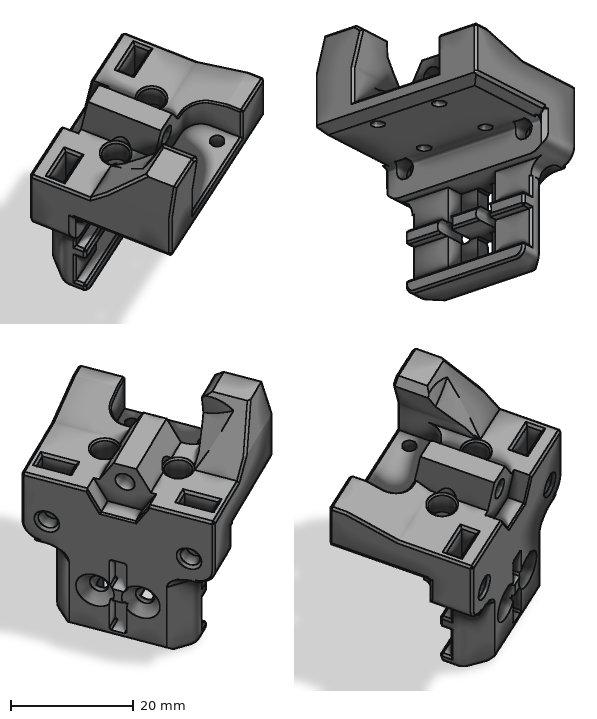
import cadquery as cq
import math

length = 26.0
half_width = 34.0 / 2
height = 41.2
edge_break = 0.4
tolerance = 0.005

deck_top = 31.9
deck_bottom = 23.9
deck_chamfer = 1.52
block_depth = 8.08
block_bottom = 17.92
block_corner_radius = 3.3
block_rear_chamfer = 0.82
inner_corner_radius = 1.25

plate_half_width = 12.52
plate_depth = 6.2
plate_side_chamfer = 3.95
plate_bottom_chamfer = 1.98
plate_bottom_radius = 1.95
plate_edge_radius = 2.47
neck_radius = 3.1
bottom_rib_top = 2.6
middle_rib_bottom = 9.2
middle_rib_top = 11.65
rib_gaps = ((bottom_rib_top, middle_rib_bottom), (middle_rib_top, block_bottom))
slot_width = 3.05
slot_corner_chamfer = 0.37
skin_depth = 2.75
cavity_half_width = 4.95

plate_hole_diameter = 3.2
plate_hole_sink_diameter = 6.7
plate_hole_y = 4.05
plate_hole_z = 10.4

ridge_start = 3.17
ridge_end = 16.6
ridge_top = 36.25
ridge_top_half_width = 2.0
recess_bottom = 27.6
recess_half_width = 3.05
recess_break = 0.3
bore_diameter = 3.4
bore_z = 32.8
flank_slope = math.tan(math.radians(60))

tall_slope_start = 11.05
tall_slope_end = tall_slope_start + height - deck_top
low_slope_start = 13.55
low_slope_end = 23.0
low_arm_top = 34.35
pocket_floor = 27.52
pocket_half_width = 8.9
pocket_corner_radius = 3.65
pocket_break = 0.3
lean_start = 34.8
lean_offset = 1.8
overhang_start = 33.8
overhang_end = 40.1
overhang_y = -7.1
overhang_top_y = -8.55

screw_diameter = 2.4
screw_y = 6.45
front_screw_x = 10.55
rear_screw_x = 22.6
counterbore_diameter = 4.6
counterbore_break = 0.35

nut_y = 12.52
nut_z = 22.65
nut_width = 5.9
nut_x_start = 2.9
nut_thickness = 2.65
nut_mouth_break = 0.45
cross_hole_diameter = 3.4
cross_hole_sink_diameter = 4.4


def ends(edge):
    """Start, middle and end of an edge."""
    return [edge.positionAt(place) for place in (0, 0.5, 1)]


def along_x(points, start, end):
    """Extrude a closed (Y, Z) polygon from X = start to X = end."""
    return cq.Workplane("YZ", origin=(start, 0, 0)).polyline(points).close().extrude(end - start)


def along_y(points, start, end):
    """Extrude a closed (X, Z) polygon from Y = start to Y = end."""
    return cq.Workplane("XZ", origin=(0, start, 0)).polyline(points).close().extrude(start - end)


def box(x_range, y_range, z_range):
    """Box between the given limits."""
    size = [end - start for start, end in (x_range, y_range, z_range)]
    return cq.Workplane("XY").box(*size, centered=False).translate((x_range[0], y_range[0], z_range[0]))


def cone_x(y, z, mouth_diameter, end_diameter):
    """45 degree countersink that opens toward -X at the front face."""
    depth = (mouth_diameter - end_diameter) / 2
    centre = cq.Vector(0, y, z)
    inward = cq.Vector(1, 0, 0)
    return cq.Workplane(cq.Solid.makeCone(mouth_diameter / 2, end_diameter / 2, depth, centre, inward))


def hole_x(y, z, diameter, depth):
    """Round hole along X from the front face."""
    return cq.Workplane("YZ", origin=(0, y, z)).circle(diameter / 2).extrude(depth)


def hole_z(x, y, diameter):
    """Round hole along Z, through the deck."""
    return cq.Workplane("XY", origin=(x, y, deck_bottom)).circle(diameter / 2).extrude(deck_top - deck_bottom)


def make_deck():
    """Flat deck with bevelled lower edges, without the front block."""
    deck = box((0, length), (-half_width, half_width), (deck_bottom, deck_top))
    return deck.faces("<Z").edges("|X or >X").chamfer(deck_chamfer)


def make_block():
    """Front block with rounded lower corners."""
    block = box((0, block_depth), (-half_width, half_width), (block_bottom, deck_top))
    return block.edges("|X and <Z").fillet(block_corner_radius)


def make_tall_arm():
    """Leaning arm on the -Y side with an overhanging inner face."""
    side = along_y(
        [
            (tall_slope_start, deck_top),
            (tall_slope_end, height),
            (length, height),
            (length, pocket_floor),
            (tall_slope_start, pocket_floor),
        ],
        -half_width,
        0,
    )
    section = along_x(
        [
            (-half_width, pocket_floor),
            (-half_width, lean_start),
            (-half_width + lean_offset, height),
            (overhang_top_y, height),
            (overhang_y, overhang_end),
            (-pocket_half_width, overhang_start),
            (-pocket_half_width, pocket_floor),
        ],
        0,
        length,
    )
    return side.intersect(section)


def make_low_arm():
    """Gently sloped arm on the +Y side."""
    return along_y(
        [
            (low_slope_start, deck_top),
            (low_slope_end, low_arm_top),
            (length, low_arm_top),
            (length, deck_top),
        ],
        0,
        half_width,
    )


def make_pocket():
    """Space between the arms, open at the rear."""
    pocket = box((ridge_end, length), (-pocket_half_width, pocket_half_width), (pocket_floor, height))
    return pocket.edges("|Z and <X").fillet(pocket_corner_radius)


def make_ridge():
    """Upper half of the central hexagon, standing on the deck."""
    foot = ridge_top_half_width + (ridge_top - deck_top) / flank_slope
    outline = [
        (-foot, deck_top),
        (-ridge_top_half_width, ridge_top),
        (ridge_top_half_width, ridge_top),
        (foot, deck_top),
    ]
    return along_x(outline, ridge_start, ridge_end)


def make_front_recess():
    """Trapezoidal notch in front of the ridge."""
    mouth = recess_half_width + (ridge_top - recess_bottom) / flank_slope
    outline = [
        (-recess_half_width, recess_bottom),
        (-mouth, ridge_top),
        (mouth, ridge_top),
        (recess_half_width, recess_bottom),
    ]
    return along_x(outline, 0, ridge_start)


def neck_tangent():
    """Neck arc end on the side wall, its middle and the point where it meets the block corner."""
    corner_y = half_width - block_corner_radius
    corner_z = block_bottom + block_corner_radius
    neck_y = plate_half_width + neck_radius
    reach = block_corner_radius + neck_radius
    neck_z = corner_z - math.sqrt(reach**2 - (neck_y - corner_y) ** 2)
    end_angle = math.atan2(corner_z - neck_z, corner_y - neck_y)
    middle_angle = (end_angle + math.pi) / 2
    middle, end = [
        (neck_y + neck_radius * math.cos(angle), neck_z + neck_radius * math.sin(angle))
        for angle in (middle_angle, end_angle)
    ]
    return (plate_half_width, neck_z), middle, end


def is_rear_plate_edge(edge):
    """True for the rear rim of the ribs and the rear side edges of the plate."""
    points = ends(edge)
    on_rib = all(p.x > block_depth - tolerance and p.z < middle_rib_top + tolerance for p in points)
    on_side = all(abs(p.y) > plate_half_width - tolerance and p.x > plate_depth - tolerance for p in points)
    return on_rib or on_side


def is_bottom_side(edge):
    """True for the bottom edges of the plate except the straight front and rear ones."""
    return abs(edge.startPoint().y - edge.endPoint().y) < plate_half_width


def round_ends(bevel, wall):
    """Tangent points of the rounded edge between a 45 degree front bevel and a wall."""
    tangent = plate_edge_radius * math.tan(math.radians(22.5))
    diagonal = tangent * math.sqrt(0.5)
    return (bevel - diagonal, wall - diagonal), (bevel + tangent, wall)


def make_bottom_bevel():
    """Cutter for the 45 degree bevel along the bottom of the front, rounded where it meets the bottom."""
    (start_x, start_z), (end_x, end_z) = round_ends(plate_bottom_chamfer, 0)
    profile = (
        cq.Workplane("XZ")
        .moveTo(0, plate_bottom_chamfer)
        .lineTo(start_x, -start_z)
        .radiusArc((end_x, end_z), -plate_edge_radius)
        .lineTo(0, 0)
        .close()
    )
    return profile.extrude(plate_half_width, both=True)


def make_side_bevel():
    """Cutter for the 45 degree bevel on the +Y side of the plate, blended into the block above."""
    plane = cq.Plane(
        origin=(0, plate_half_width - plate_side_chamfer, 0), xDir=(-1, 1, 0), normal=(1, 1, 0)
    )
    blend_start = block_bottom - neck_radius
    diagonal = neck_radius * math.sqrt(0.5)
    profile = (
        cq.Workplane(plane)
        .moveTo(0, -height)
        .lineTo(0, blend_start)
        .threePointArc((neck_radius - diagonal, blend_start + diagonal), (neck_radius, block_bottom))
        .lineTo(half_width, block_bottom)
        .lineTo(half_width, -height)
        .close()
    )
    return profile.extrude(half_width, both=True)


def make_neck():
    """Concave sweep from the +Y side of the plate out to the block corner."""
    start, middle, end = neck_tangent()
    profile = (
        cq.Workplane("YZ")
        .moveTo(*start)
        .threePointArc(middle, end)
        .lineTo(end[0], block_bottom + edge_break)
        .lineTo(0, block_bottom + edge_break)
        .lineTo(0, start[1])
        .close()
    )
    return profile.extrude(plate_depth)


def make_plate():
    """Lower plate with two rear ribs, bevelled and rounded front edges, and a neck on each side."""
    round_start, round_end = round_ends(plate_side_chamfer, plate_half_width)
    half = (
        cq.Workplane("XY")
        .lineTo(0, plate_half_width - plate_side_chamfer)
        .lineTo(*round_start)
        .radiusArc(round_end, plate_edge_radius)
        .lineTo(block_depth, plate_half_width)
        .lineTo(block_depth, 0)
        .close()
        .extrude(block_bottom + edge_break)
    )
    plate = half.union(half.mirror("XZ")).clean()
    plate = plate.faces("<Z").edges().filter(is_bottom_side).fillet(plate_bottom_radius)
    for bottom, top in ((bottom_rib_top, middle_rib_bottom), (middle_rib_top, height)):
        plate = plate.cut(box((plate_depth, block_depth), (-half_width, half_width), (bottom, top)))
    plate = plate.edges().filter(is_rear_plate_edge).chamfer(edge_break)
    neck = make_neck().cut(make_side_bevel())
    return plate.cut(make_bottom_bevel()).union(neck).union(neck.mirror("XZ"))


def make_nut_trap(y):
    """Slot for a hexagonal nut standing on one corner, with a bevelled mouth."""
    corner = nut_width / 2 / math.cos(math.radians(30))
    trap = along_x(
        [
            (y, nut_z - corner),
            (y + nut_width / 2, nut_z - corner / 2),
            (y + nut_width / 2, deck_top),
            (y - nut_width / 2, deck_top),
            (y - nut_width / 2, nut_z - corner / 2),
        ],
        nut_x_start,
        nut_x_start + nut_thickness,
    )
    mouth = (
        cq.Workplane("XY", origin=(nut_x_start + nut_thickness / 2, y, deck_top))
        .rect(nut_thickness + 2 * nut_mouth_break, nut_width + 2 * nut_mouth_break)
        .extrude(-nut_mouth_break, taper=45)
    )
    return trap.union(mouth)


def make_slot(bottom, top):
    """Window through the plate with small corner bevels, opening into a wider rear cavity."""
    slot = box((0, plate_depth), (-slot_width / 2, slot_width / 2), (bottom, top))
    slot = slot.edges("|X").chamfer(slot_corner_chamfer)
    cavity = box((skin_depth, plate_depth), (-cavity_half_width, cavity_half_width), (bottom, top))
    return slot.union(cavity)


def make_counterbore(y):
    """Counterbore for a front screw, with a bevelled mouth reaching above the deck."""
    radius = counterbore_diameter / 2
    bore = cq.Workplane("XY", origin=(front_screw_x, y, pocket_floor)).circle(radius)
    bore = bore.extrude(height - pocket_floor)
    mouth = cq.Solid.makeCone(
        radius, radius + counterbore_break, counterbore_break,
        cq.Vector(front_screw_x, y, deck_top - counterbore_break),
    )
    above = cq.Workplane("XY", origin=(front_screw_x, y, deck_top)).circle(radius + counterbore_break)
    return bore.union(cq.Workplane(mouth)).union(above.extrude(height - deck_top))


def line(start, end):
    """Straight edge between two points."""
    return cq.Edge.makeLine(cq.Vector(*start), cq.Vector(*end))


def arc(start, middle, end):
    """Arc through three points."""
    return cq.Edge.makeThreePointArc(cq.Vector(*start), cq.Vector(*middle), cq.Vector(*end))


def make_scoop():
    """Smooth tapered hollow that runs up the inner side of the tall arm."""
    tip = (11.0, -9.15, 31.85)
    rim_middle = (14.65, -11.15, 35.5)
    rim_end = (18.83, -12.95, 39.68)
    rim_top = (19.6, -9.9, 40.45)
    bed_middle = (18.62, -10.15, 38.4)
    bed_end = (18.45, -6.8, 37.7)
    top_end = (19.6, -6.8, 40.45)
    foot_end = (14.0, -6.8, 32.55)
    tip_rim = arc(tip, rim_middle, rim_end)
    end_rim = arc(rim_end, rim_top, top_end)
    bed_rim = arc(rim_end, bed_middle, bed_end)
    foot_line = line(tip, foot_end)
    bed_line = line(foot_end, bed_end)
    end_line = line(bed_end, top_end)
    top_line = line(top_end, tip)
    diagonal = line(foot_end, top_end)
    faces = [
        cq.Face.makeFromWires(cq.Wire.assembleEdges([tip_rim, end_rim, top_line])),
        cq.Face.makeNSidedSurface([tip_rim, bed_rim, bed_line, foot_line], []),
        cq.Face.makeNSidedSurface([bed_rim, end_rim, end_line], []),
        cq.Face.makeFromWires(cq.Wire.assembleEdges([bed_line, end_line, diagonal])),
        cq.Face.makeFromWires(cq.Wire.assembleEdges([foot_line, diagonal, top_line])),
    ]
    return cq.Workplane(cq.Solid.makeSolid(cq.Shell.makeShell(faces)))


def is_vertical(edge):
    """True for a straight edge along Z."""
    span = edge.endPoint() - edge.startPoint()
    return math.hypot(span.x, span.y) < tolerance


def is_pocket_rim(edge):
    """True for the edges between the pocket wall and the top of the low arm."""
    points = ends(edge)
    inside = all(p.x > ridge_end - tolerance and p.y < pocket_half_width + tolerance for p in points)
    return inside and all(p.z > deck_top + tolerance for p in points) and not is_vertical(edge)


def is_recess_edge(edge):
    """True for the front edges of the notch in front of the ridge."""
    reach = recess_half_width + (deck_top - recess_bottom) / flank_slope + tolerance
    points = ends(edge)
    on_front = all(p.x < tolerance for p in points)
    return on_front and all(p.z > recess_bottom - tolerance and abs(p.y) < reach for p in points)


def make_rear_bevel():
    """Cutter for the bevel on the rear vertical edge of the block, +Y side."""
    return (
        cq.Workplane("XY", origin=(0, 0, block_bottom))
        .moveTo(block_depth, half_width)
        .lineTo(block_depth - block_rear_chamfer, half_width)
        .lineTo(block_depth, half_width - block_rear_chamfer)
        .close()
        .extrude(deck_bottom + deck_chamfer - block_bottom)
    )


def make_inner_corner():
    """Concave blend between the rear of the block and the underside of the deck."""
    profile = (
        cq.Workplane("XZ", origin=(0, half_width - block_rear_chamfer, 0))
        .moveTo(block_depth, deck_bottom - inner_corner_radius)
        .radiusArc((block_depth + inner_corner_radius, deck_bottom), inner_corner_radius)
        .lineTo(block_depth, deck_bottom)
        .close()
    )
    return profile.extrude(2 * (half_width - block_rear_chamfer))


def is_outer_edge(edge):
    """True for the edges of the front face, the arm ends, both sides and the leaning side of the tall arm."""
    points = ends(edge)
    lowest = deck_bottom + deck_chamfer
    level = abs(points[0].z - points[2].z) < tolerance
    if all(p.x < tolerance for p in points):
        return True
    if any(p.z < lowest - tolerance for p in points):
        return False
    if all(p.x > length - tolerance for p in points):
        return points[1].z > lowest + tolerance
    if all(abs(p.y) > half_width - tolerance for p in points):
        return not (level and abs(points[0].z - lean_start) < tolerance)
    lean = lean_offset / (height - lean_start)
    on_lean = all(abs(p.y + half_width - lean * (p.z - lean_start)) < tolerance for p in points)
    return on_lean and not level


body = make_deck().union(make_block()).union(make_low_arm()).cut(make_pocket())
body = body.edges().filter(is_pocket_rim).chamfer(pocket_break)
body = body.union(make_tall_arm()).clean()
body = body.edges().filter(is_outer_edge).chamfer(edge_break)
rear_bevel = make_rear_bevel()
body = body.cut(rear_bevel).cut(rear_bevel.mirror("XZ"))
body = body.union(make_inner_corner()).union(make_plate()).cut(make_scoop())

body = body.cut(make_front_recess())
body = body.edges().filter(is_recess_edge).chamfer(recess_break)
body = body.union(make_ridge())
body = body.cut(hole_x(0, bore_z, bore_diameter, length))

for side in (-1, 1):
    body = body.cut(make_nut_trap(side * nut_y))
    body = body.cut(hole_x(side * nut_y, nut_z, cross_hole_diameter, block_depth + inner_corner_radius))
    body = body.cut(cone_x(side * nut_y, nut_z, cross_hole_sink_diameter, cross_hole_diameter))
    body = body.cut(hole_x(side * plate_hole_y, plate_hole_z, plate_hole_diameter, block_depth))
    body = body.cut(cone_x(side * plate_hole_y, plate_hole_z, plate_hole_sink_diameter, plate_hole_diameter))
    body = body.cut(make_counterbore(side * screw_y))
    for x in (front_screw_x, rear_screw_x):
        body = body.cut(hole_z(x, side * screw_y, screw_diameter))

for bottom, top in rib_gaps:
    body = body.cut(make_slot(bottom, top))

result = body